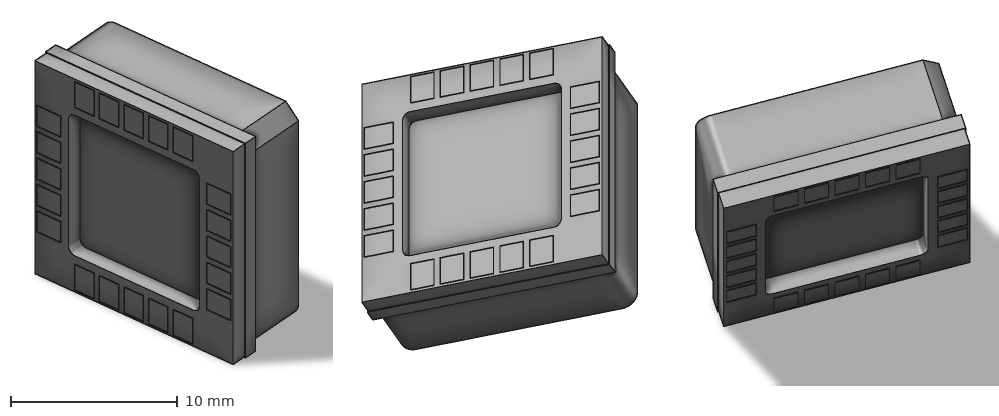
import cadquery as cq

TOTAL_DEPTH = 6.35
PAD_THICKNESS = 0.05
SUBSTRATE_THICKNESS = 1.09
FLANGE_THICKNESS = 0.95
COVER_DEPTH = TOTAL_DEPTH - PAD_THICKNESS - SUBSTRATE_THICKNESS - FLANGE_THICKNESS

SUBSTRATE_SIDE = 15.38
FLANGE_SIDE = 15.5
COVER_SIDE = 15.2
COVER_CORNER_RADIUS = 1.0
COVER_INDEX_CHAMFER = 1.0

CAVITY_SIDE = 10.15
CAVITY_CORNER_RADIUS = 0.5
CAVITY_DEPTH = SUBSTRATE_THICKNESS

PADS_PER_SIDE = 5
PAD_PITCH = 1.905
PAD_WIDTH = 1.5
PAD_LENGTH = 1.85
PAD_EDGE_MARGIN = 0.17
PAD_ROW_OFFSET = SUBSTRATE_SIDE / 2 - PAD_EDGE_MARGIN - PAD_LENGTH / 2

SUBSTRATE_FRONT = 0.0
FLANGE_FRONT = SUBSTRATE_FRONT + SUBSTRATE_THICKNESS
COVER_FRONT = FLANGE_FRONT + FLANGE_THICKNESS


def block(width, height, front, depth, x=0.0, z=0.0):
    """Box centred on (x, z), reaching from Y = front towards +Y by depth."""
    return cq.Workplane("XY").box(width, depth, height).translate((x, front + depth / 2, z))


def rounded_square(side, corner_radius, front, depth):
    """Square block with its four edges along Y rounded."""
    return block(side, side, front, depth).edges("|Y").fillet(corner_radius)


def make_cover():
    """Cover with a chamfered index corner at +X +Z and the other three corners rounded."""
    cover = block(COVER_SIDE, COVER_SIDE, COVER_FRONT, COVER_DEPTH)
    index_corner = cq.selectors.DirectionMinMaxSelector(cq.Vector(1, 0, 1))
    cover = cover.edges("|Y").edges(index_corner).chamfer(COVER_INDEX_CHAMFER)
    for x_side, z_side in ((-1, -1), (-1, 1), (1, -1)):
        corner = cq.selectors.DirectionMinMaxSelector(cq.Vector(x_side, 0, z_side))
        cover = cover.edges("|Y").edges(corner).fillet(COVER_CORNER_RADIUS)
    return cover


def add_pads(body):
    """Add the rows of pads along the top, bottom, left and right sides."""
    front = SUBSTRATE_FRONT - PAD_THICKNESS
    depth = 2 * PAD_THICKNESS
    for index in range(PADS_PER_SIDE):
        along = (index - (PADS_PER_SIDE - 1) / 2) * PAD_PITCH
        for across in (-PAD_ROW_OFFSET, PAD_ROW_OFFSET):
            body = body.union(block(PAD_WIDTH, PAD_LENGTH, front, depth, x=along, z=across))
            body = body.union(block(PAD_LENGTH, PAD_WIDTH, front, depth, x=across, z=along))
    return body


substrate = block(SUBSTRATE_SIDE, SUBSTRATE_SIDE, SUBSTRATE_FRONT, SUBSTRATE_THICKNESS)
flange = block(FLANGE_SIDE, FLANGE_SIDE, FLANGE_FRONT, FLANGE_THICKNESS)
cover = make_cover()
cavity = rounded_square(CAVITY_SIDE, CAVITY_CORNER_RADIUS, SUBSTRATE_FRONT, CAVITY_DEPTH)

result = add_pads(substrate.union(flange).union(cover).cut(cavity))